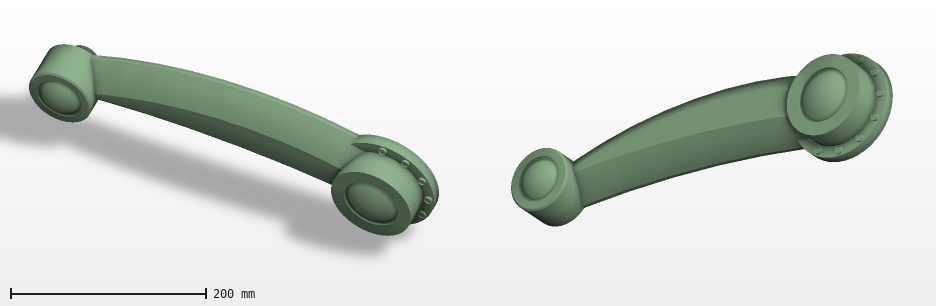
import cadquery as cq
import math


shaft_diameter = 30.0
shaft_length = 20.0

spindle_diameter = 70.0
spindle_depth = 44.2
spindle_chamfer = 1.8
spindle_recess_diameter = 50.0
spindle_recess_depth = 1.8
spindle_dome_diameter = 45.0
spindle_dome_tip = 53.5

hub_x = 350.0
hub_diameter = 90.0
hub_depth = 42.5
hub_recess_diameter = 60.0
hub_recess_depth = 2.5
hub_dome_diameter = 57.0
hub_dome_tip = 51.0
flange_diameter = 115.0
flange_thickness = 12.5

screw_diameter = 9.0
screw_socket_diameter = 7.5
screw_height = 2.5
screw_socket_depth = 1.5
screw_circle_radius = 51.5
screw_pitch_angle = 30
first_screw_angle = -120
screw_count = 8

arm_depth = 31.0
arm_edge_thickness = 5.5
arm_bevel = 25.0
arm_bevel_bulge = 2.0
arm_start_x = 13.3
arm_end_x = 336.3
upper_crown_x = 196.5
upper_crown_z = 62.5
upper_radius = 517.5
lower_crown_x = 128.0
lower_crown_z = -18.0
lower_radius = 1203.5


def disc(x, diameter, back, front):
    """Cylinder along Y, between two depths measured forward from y = 0."""
    return (
        cq.Workplane("XZ", origin=(x, -back, 0))
        .circle(diameter / 2)
        .extrude(front - back)
    )


def dome(x, base_diameter, base, tip):
    """Spherical cap rising from a base depth to its tip depth."""
    cap = (
        cq.Workplane("XY")
        .moveTo(0, -base)
        .lineTo(base_diameter / 2, -base)
        .threePointArc(cap_midpoint(base_diameter / 2, base, tip), (0, -tip))
        .close()
        .revolve(360, (0, 0, 0), (0, 1, 0))
    )
    return cap.translate((x, 0, 0))


def cap_midpoint(base_radius, base, tip):
    """Point halfway along the arc of a spherical cap profile."""
    height = tip - base
    sphere_radius = (base_radius**2 + height**2) / (2 * height)
    half_angle = math.asin(base_radius / sphere_radius) / 2
    center_depth = tip - sphere_radius
    return (
        sphere_radius * math.sin(half_angle),
        -(center_depth + sphere_radius * math.cos(half_angle)),
    )


def rounded_disc(crown_x, center_z, radius, inset):
    """Large disc about Y, its front edge shifted radially by inset along a bulging arc."""
    bevel_height = arm_depth - arm_edge_thickness
    bulge_slope = arm_bevel_bulge / math.hypot(inset, bevel_height)
    bevel_middle = (
        radius + inset / 2 - math.copysign(bulge_slope * bevel_height, inset),
        -(arm_edge_thickness + bevel_height / 2 + bulge_slope * abs(inset)),
    )
    solid = (
        cq.Workplane("XY")
        .lineTo(radius, 0)
        .lineTo(radius, -arm_edge_thickness)
        .threePointArc(bevel_middle, (radius + inset, -arm_depth))
        .lineTo(0, -arm_depth)
        .close()
        .revolve(360, (0, 0, 0), (0, 1, 0))
    )
    return solid.translate((crown_x, 0, center_z))


def make_beam():
    """Curved beam: a thin straight edge at the back, a rounded bevel toward the front."""
    upper_center_z = upper_crown_z - upper_radius
    lower_center_z = lower_crown_z - lower_radius
    length = arm_end_x - arm_start_x
    blank = cq.Workplane("XY").box(length, arm_depth, 2 * upper_crown_z)
    blank = blank.translate(((arm_start_x + arm_end_x) / 2, -arm_depth / 2, 0))
    blank = blank.intersect(rounded_disc(upper_crown_x, upper_center_z, upper_radius, -arm_bevel))
    return blank.cut(rounded_disc(lower_crown_x, lower_center_z, lower_radius, arm_bevel))


def add_screw_heads(body):
    """Row of socket screw heads around the exposed part of the flange."""
    top = flange_thickness + screw_height
    head = disc(0, screw_diameter, flange_thickness, top)
    head = head.cut(disc(0, screw_socket_diameter, top - screw_socket_depth, top))
    for index in range(screw_count):
        angle = math.radians(first_screw_angle + index * screw_pitch_angle)
        x = hub_x + screw_circle_radius * math.cos(angle)
        z = screw_circle_radius * math.sin(angle)
        body = body.union(head.translate((x, 0, z)))
    return body


def make_spindle():
    """Small-end spindle: chamfered drum, recessed dome and shaft stub."""
    floor = spindle_depth - spindle_recess_depth
    body = disc(0, spindle_diameter, 0, spindle_depth).faces("<Y").edges().chamfer(spindle_chamfer)
    body = body.cut(disc(0, spindle_recess_diameter, floor, spindle_depth))
    body = body.union(dome(0, spindle_dome_diameter, floor, spindle_dome_tip))
    return body.union(disc(0, shaft_diameter, -shaft_length, 0))


def make_arm():
    """Arm with its flanged hub, ending against the spindle drum."""
    floor = hub_depth - hub_recess_depth
    body = make_beam().cut(disc(0, spindle_diameter, 0, spindle_depth))
    body = body.union(disc(hub_x, flange_diameter, 0, flange_thickness))
    body = body.union(disc(hub_x, hub_diameter, 0, hub_depth))
    body = body.cut(disc(hub_x, hub_recess_diameter, floor, hub_depth))
    body = body.union(dome(hub_x, hub_dome_diameter, floor, hub_dome_tip))
    body = body.union(disc(hub_x, shaft_diameter, -shaft_length, 0))
    return add_screw_heads(body)


spindle = make_spindle()
arm = make_arm()

result = cq.Compound.makeCompound([spindle.solids().val(), arm.solids().val()])